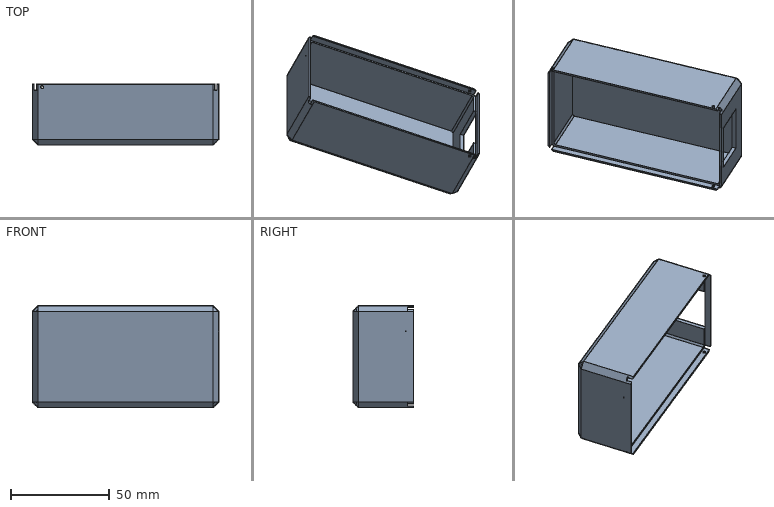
import cadquery as cq

overall_length = 95.0
nub_height = 0.2
length = overall_length - nub_height
depth = 31.0
height = 52.0
bevel = 2.9

wall = 2.0
rim_wall = 0.95
rim_depth = 3.0

window_width = 17.1
window_height = 25.0

pin_diameter = 1.3
pin_from_end = 4.9
pin_from_back = rim_depth / 2

nub_diameter = 0.4
nub_from_back = 4.0
nub_z = 12.9

back = depth / 2
rim_floor = back - rim_depth


def outer_block():
    """Solid block bevelled on the front face and the four edges along Y."""
    block = cq.Workplane("XY").box(length, depth, height)
    return block.edges("|Y or <Y").chamfer(bevel)


def open_box(wall_thickness, floor_y):
    """Rectangular void running from floor_y out through the open back."""
    void_depth = back - floor_y
    return (
        cq.Workplane("XY")
        .box(length - 2 * wall_thickness, void_depth, height - 2 * wall_thickness)
        .translate((0, floor_y + void_depth / 2, 0))
    )


def cavity():
    """Main void, with its long edges bevelled to follow the outside."""
    return open_box(wall, wall - back).edges("|Y").chamfer(bevel - wall)


def lid_recess():
    """Square-cornered step that breaks through the bevels as four slots."""
    return open_box(rim_wall, rim_floor)


def window():
    """Opening through the -X wall only."""
    return (
        cq.Workplane("XY")
        .box(2 * wall, window_width, window_height)
        .translate((-length / 2, rim_floor - window_width / 2, 0))
    )


def pin_holes():
    """Aligned holes through the top and bottom of the rim."""
    return (
        cq.Workplane("XY")
        .center(pin_from_end - length / 2, back - pin_from_back)
        .circle(pin_diameter / 2)
        .extrude(height, both=True)
    )


def nub():
    """Small round nub rooted inside the +X wall and standing just proud of it."""
    root = wall / 2
    return (
        cq.Workplane("YZ", origin=(length / 2 - root, back - nub_from_back, nub_z))
        .circle(nub_diameter / 2)
        .extrude(root + nub_height)
    )


shell = outer_block().cut(cavity()).cut(lid_recess()).cut(window()).cut(pin_holes())

result = shell.union(nub()).translate((-nub_height / 2, 0, 0))